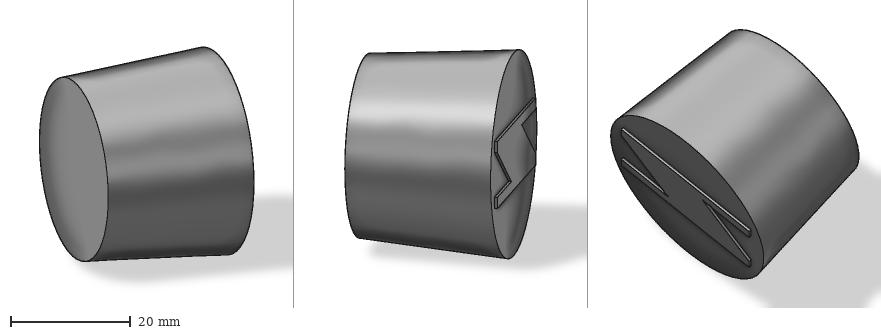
import cadquery as cq

wide_diameter = 35.0
narrow_diameter = 31.0
body_length = 25.4

mark_height = 0.5
mark_length = 29.2
mark_width = 11.55
bar_width = 1.9
diagonal_run = 18.55
mark_center_z = 0.2


def make_body():
    profile = (
        cq.Workplane("XY")
        .lineTo(narrow_diameter / 2, 0)
        .lineTo(wide_diameter / 2, body_length)
        .lineTo(0, body_length)
        .close()
    )
    return profile.revolve(360, (0, 0, 0), (0, 1, 0))


def make_mark():
    end_x = mark_length / 2
    outer_z = mark_width / 2
    inner_z = outer_z - bar_width
    half_outline = [
        (-end_x, -outer_z),
        (-end_x, -inner_z),
        (end_x - diagonal_run, inner_z),
        (-end_x, inner_z),
        (-end_x, outer_z),
    ]
    outline = half_outline + [(-x, -z) for x, z in half_outline]
    mark = cq.Workplane("XZ").polyline(outline).close().extrude(-mark_height)
    return mark.translate((0, body_length, mark_center_z))


result = make_body().union(make_mark())